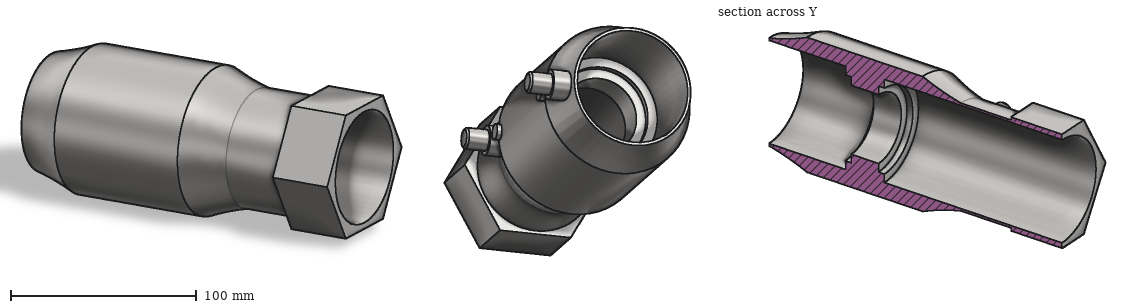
import cadquery as cq
import math

total_length = 194.0
body_length = 126.9
taper_length = 25.2
body_diameter = 82.8
body_radius = body_diameter / 2
neck_radius = 33.2
taper_mid_radius = 36.7

hex_length = 33.8
hex_across_flats = 69.8
hex_across_corners = hex_across_flats / math.cos(math.pi / 6)

pipe_bore_radius = 31.5
seat_bore_radius = 26.2
ball_bore_radius = 21.0
pipe_bore_depth = 50.5
seat_depth = 3.9

stem_offset = 11.0
collar_radius = 8.1
collar_top = 43.6
stem_radius = 5.8
overall_width = 97.5
stem_top = overall_width - body_radius
stem_chamfer = 1.2
pin_offset = 27.0
pin_radius = 4.3
pin_top = 44.0
post_base = 32.2


def x_cylinder(start, end, radius):
    return cq.Workplane("YZ", origin=(start, 0, 0)).circle(radius).extrude(end - start)


def y_post(x, top, radius):
    """Cylinder rising along +Y from inside the wall to the given height."""
    plane = cq.Plane(origin=(x, post_base, 0), xDir=(1, 0, 0), normal=(0, 1, 0))
    return cq.Workplane(plane).circle(radius).extrude(top - post_base)


def make_shell():
    """Barrel with a curved taper at each end and a straight neck."""
    barrel_end = body_length - taper_length
    return (
        cq.Workplane("XY")
        .lineTo(0, neck_radius)
        .threePointArc((taper_length / 2, taper_mid_radius), (taper_length, body_radius))
        .lineTo(barrel_end, body_radius)
        .threePointArc(
            (barrel_end + taper_length / 2, taper_mid_radius), (body_length, neck_radius)
        )
        .lineTo(total_length, neck_radius)
        .lineTo(total_length, 0)
        .close()
        .revolve(360, (0, 0, 0), (1, 0, 0))
    )


def make_hex():
    """Hexagonal prism with one pair of flats facing up and down."""
    return (
        cq.Workplane("YZ", origin=(total_length - hex_length, 0, 0))
        .polygon(6, hex_across_corners)
        .extrude(hex_length)
    )


part = make_shell().union(make_hex())

for x in (stem_offset, body_length - stem_offset):
    stem = y_post(x, stem_top, stem_radius).faces(">Y").chamfer(stem_chamfer)
    part = part.union(y_post(x, collar_top, collar_radius)).union(stem)
for x in (pin_offset, body_length - pin_offset):
    part = part.union(y_post(x, pin_top, pin_radius))

seat_end = pipe_bore_depth + seat_depth
bores = (
    x_cylinder(0, total_length, ball_bore_radius)
    .union(x_cylinder(0, seat_end, seat_bore_radius))
    .union(x_cylinder(body_length - seat_end, total_length, seat_bore_radius))
    .union(x_cylinder(0, pipe_bore_depth, pipe_bore_radius))
    .union(x_cylinder(body_length - pipe_bore_depth, total_length, pipe_bore_radius))
)
result = part.cut(bores)